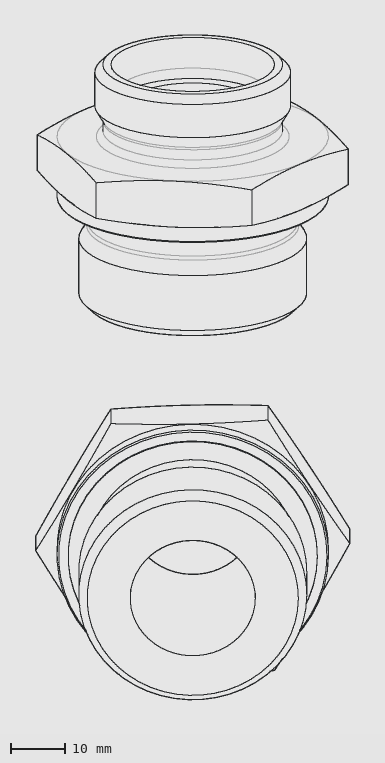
import cadquery as cq
import math

ACROSS_CORNERS = 57.75
HEX_BOTTOM = 23.0
HEX_TOP = 32.0
HEX_CHAMFER_DIAMETER = 49.9
HEX_CHAMFER_ANGLE = 15.0

TOTAL_HEIGHT = 46.0
LOWER_DIAMETER = 41.9
GROOVE_DIAMETER = 38.6
LOWER_CHAMFER = 1.55
LOWER_CONE_START = 12.25
GROOVE_FILLET = 1.45

FLANGE_DIAMETER = 49.9
FLANGE_BOTTOM = 20.0
FLANGE_CHAMFER = 0.3

UPPER_DIAMETER = 36.0
NECK_DIAMETER = 33.0
UPPER_CHAMFER = 1.5
UPPER_CONE_END = 38.05
NECK_TOP_FILLET = 1.05
NECK_BASE_FILLET = 1.2

CONE_ANGLE = 30.0

BORE_DIAMETER = 23.0
SEAT_DIAMETER = 28.0
MOUTH_DIAMETER = 30.0
TAPER_DEPTH = 5.6
SEAT_DEPTH = 7.6

RING_DIAMETER = 45.8
RING_BOTTOM = 19.6
RING_THICKNESS = 1.5


def cone_height(large_diameter, small_diameter):
    """Axial length of a cone between two diameters."""
    return (large_diameter - small_diameter) / 2 / math.tan(math.radians(CONE_ANGLE))


def cylinder(diameter, bottom, top):
    return cq.Workplane("XY").workplane(offset=bottom).circle(diameter / 2).extrude(top - bottom)


def revolve_profile(points):
    """Turn a closed outline of (radius, height) points about the Z axis."""
    return cq.Workplane("XZ").polyline(points).close().revolve(360, (0, 0), (0, 1))


def fillet_circle(body, diameter, height, radius):
    """Round the circular edge of the given diameter at the given height."""
    tolerance = 0.005
    reach = diameter / 2 + tolerance
    box = cq.selectors.BoxSelector(
        (-reach, -reach, height - tolerance), (reach, reach, height + tolerance), boundingbox=True
    )
    return body.edges(box).fillet(radius)


def make_lower_end():
    radius = LOWER_DIAMETER / 2
    groove_radius = GROOVE_DIAMETER / 2
    cone_end = LOWER_CONE_START + cone_height(LOWER_DIAMETER, GROOVE_DIAMETER)
    lower_end = revolve_profile([
        (0, 0),
        (radius - LOWER_CHAMFER, 0),
        (radius, LOWER_CHAMFER),
        (radius, LOWER_CONE_START),
        (groove_radius, cone_end),
        (groove_radius, HEX_BOTTOM),
        (0, HEX_BOTTOM),
    ])
    return fillet_circle(lower_end, GROOVE_DIAMETER, cone_end, GROOVE_FILLET)


def make_flange():
    flange = cylinder(FLANGE_DIAMETER, FLANGE_BOTTOM, HEX_BOTTOM)
    return flange.faces("<Z").edges().chamfer(FLANGE_CHAMFER)


def make_hexagon():
    """Hexagonal prism with its corners chamfered conically at both ends."""
    prism = (
        cq.Workplane("XY")
        .workplane(offset=HEX_BOTTOM)
        .polygon(6, ACROSS_CORNERS)
        .extrude(HEX_TOP - HEX_BOTTOM)
        .rotate((0, 0, 0), (0, 0, 1), 30)
    )
    end_radius = HEX_CHAMFER_DIAMETER / 2
    middle = (HEX_BOTTOM + HEX_TOP) / 2
    widest_radius = end_radius + (HEX_TOP - middle) / math.tan(math.radians(HEX_CHAMFER_ANGLE))
    double_cone = revolve_profile([
        (0, HEX_BOTTOM),
        (end_radius, HEX_BOTTOM),
        (widest_radius, middle),
        (end_radius, HEX_TOP),
        (0, HEX_TOP),
    ])
    return prism.intersect(double_cone)


def make_upper_end():
    radius = UPPER_DIAMETER / 2
    neck_radius = NECK_DIAMETER / 2
    cone_start = UPPER_CONE_END - cone_height(UPPER_DIAMETER, NECK_DIAMETER)
    upper_end = revolve_profile([
        (0, HEX_TOP),
        (neck_radius, HEX_TOP),
        (neck_radius, cone_start),
        (radius, UPPER_CONE_END),
        (radius, TOTAL_HEIGHT - UPPER_CHAMFER),
        (radius - UPPER_CHAMFER, TOTAL_HEIGHT),
        (0, TOTAL_HEIGHT),
    ])
    return fillet_circle(upper_end, NECK_DIAMETER, cone_start, NECK_TOP_FILLET)


def make_bore():
    """Space inside the fitting: taper, seat and through bore."""
    seat_height = TOTAL_HEIGHT - SEAT_DEPTH
    return revolve_profile([
        (0, 0),
        (BORE_DIAMETER / 2, 0),
        (BORE_DIAMETER / 2, seat_height),
        (SEAT_DIAMETER / 2, seat_height),
        (SEAT_DIAMETER / 2, TOTAL_HEIGHT - TAPER_DEPTH),
        (MOUTH_DIAMETER / 2, TOTAL_HEIGHT),
        (0, TOTAL_HEIGHT),
    ])


def make_sealing_ring():
    ring_top = RING_BOTTOM + RING_THICKNESS
    outside = cylinder(RING_DIAMETER, RING_BOTTOM, ring_top)
    return outside.cut(cylinder(GROOVE_DIAMETER, RING_BOTTOM, ring_top)).solids()


def make_fitting(ring):
    fitting = make_lower_end().union(make_flange()).union(make_hexagon()).union(make_upper_end())
    fitting = fillet_circle(fitting, NECK_DIAMETER, HEX_TOP, NECK_BASE_FILLET)
    return fitting.cut(make_bore()).cut(ring).solids()


sealing_ring = make_sealing_ring()
fitting = make_fitting(sealing_ring)

result = cq.Compound.makeCompound([fitting.val(), sealing_ring.val()])